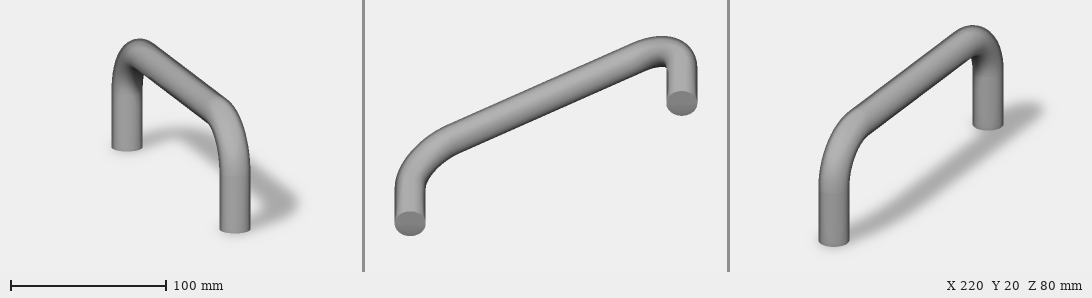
import cadquery as cq

overall_length = 220.0
overall_height = 80.0
rod_diameter = 20.0
bend_radius = 32.0

rod_radius = rod_diameter / 2
leg_x = overall_length / 2 - rod_radius
grip_z = overall_height - rod_radius
leg_length = grip_z - bend_radius
grip_half_length = leg_x - bend_radius

centreline = (
    cq.Workplane("XZ")
    .moveTo(-leg_x, 0)
    .lineTo(-leg_x, leg_length)
    .tangentArcPoint((-grip_half_length, grip_z), relative=False)
    .lineTo(grip_half_length, grip_z)
    .tangentArcPoint((leg_x, leg_length), relative=False)
    .lineTo(leg_x, 0)
)

result = cq.Workplane("XY").center(-leg_x, 0).circle(rod_radius).sweep(centreline)